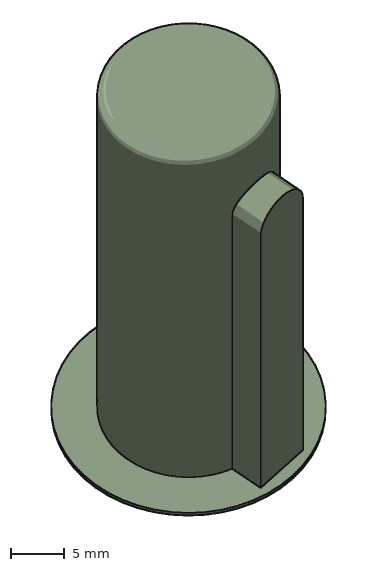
import cadquery as cq

total_height = 47.0
flange_diameter = 25.5
flange_thickness = 0.4

body_diameter = 17.0
top_edge_radius = 1.0

rib_width = 6.0
rib_reach = 11.45
rib_height = 40.5


def make_flange():
    return cq.Workplane("XY").circle(flange_diameter / 2).extrude(flange_thickness)


def make_body():
    body = cq.Workplane("XY").circle(body_diameter / 2).extrude(total_height)
    return body.faces(">Z").edges().fillet(top_edge_radius)


def make_rib():
    half_width = rib_width / 2
    arc_start_height = rib_height - half_width
    return (
        cq.Workplane("YZ")
        .moveTo(-half_width, 0)
        .lineTo(half_width, 0)
        .lineTo(half_width, arc_start_height)
        .threePointArc((0, rib_height), (-half_width, arc_start_height))
        .close()
        .extrude(rib_reach)
    )


result = make_flange().union(make_body()).union(make_rib())